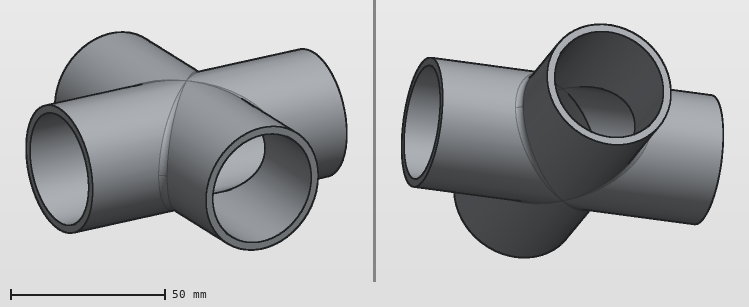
import cadquery as cq

outer_diameter = 42.4
wall_thickness = 2.6
overall_length = 96.0
crotch_fillet_radius = 2.0

bore_diameter = outer_diameter - 2 * wall_thickness


def crossed_cylinders(diameter):
    """Two full-length cylinders along X and Y, joined at the origin."""
    along_x = cq.Workplane("YZ").circle(diameter / 2).extrude(overall_length / 2, both=True)
    along_y = cq.Workplane("XZ").circle(diameter / 2).extrude(overall_length / 2, both=True)
    return along_x.union(along_y)


def round_crotches(body):
    """Fillet the mitre edges where the two outer cylinders meet."""
    mitre_edges = body.edges("not(%CIRCLE or %LINE)")
    return mitre_edges.fillet(crotch_fillet_radius)


outer_body = round_crotches(crossed_cylinders(outer_diameter))
result = outer_body.cut(crossed_cylinders(bore_diameter))